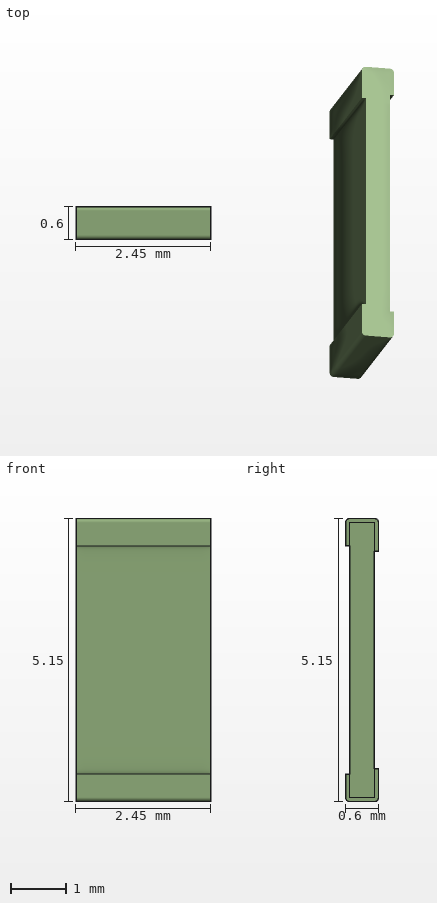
import cadquery as cq

body_width = 2.45
body_thickness = 0.45
body_length = 5.0

cap_wall = 0.075
cap_corner_radius = 0.075
front_lap = 0.5
back_lap = 0.6

cap_outer_y = body_thickness / 2 + cap_wall
cap_outer_z = body_length / 2 + cap_wall


def make_body():
    """Plain rectangular slab centred on the origin."""
    return cq.Workplane("XY").box(body_width, body_thickness, body_length)


def make_cap(end):
    """Cap on the top end (end = 1) or the bottom end (end = -1) of the body."""
    inner_y = body_thickness / 2
    inner_z = end * body_length / 2
    outer_z = end * cap_outer_z
    front_z = end * (cap_outer_z - front_lap)
    back_z = end * (cap_outer_z - back_lap)

    profile = [
        (-cap_outer_y, front_z),
        (-cap_outer_y, outer_z),
        (cap_outer_y, outer_z),
        (cap_outer_y, back_z),
        (inner_y, back_z),
        (inner_y, inner_z),
        (-inner_y, inner_z),
        (-inner_y, front_z),
    ]
    cap = cq.Workplane("YZ").polyline(profile).close().extrude(body_width / 2, both=True)

    end_face = ">Z" if end > 0 else "<Z"
    return cap.faces(end_face).edges("|X").fillet(cap_corner_radius)


body = make_body()
caps = [make_cap(end) for end in (1, -1)]

result = cq.Compound.makeCompound([body.val(), *[cap.val() for cap in caps]])